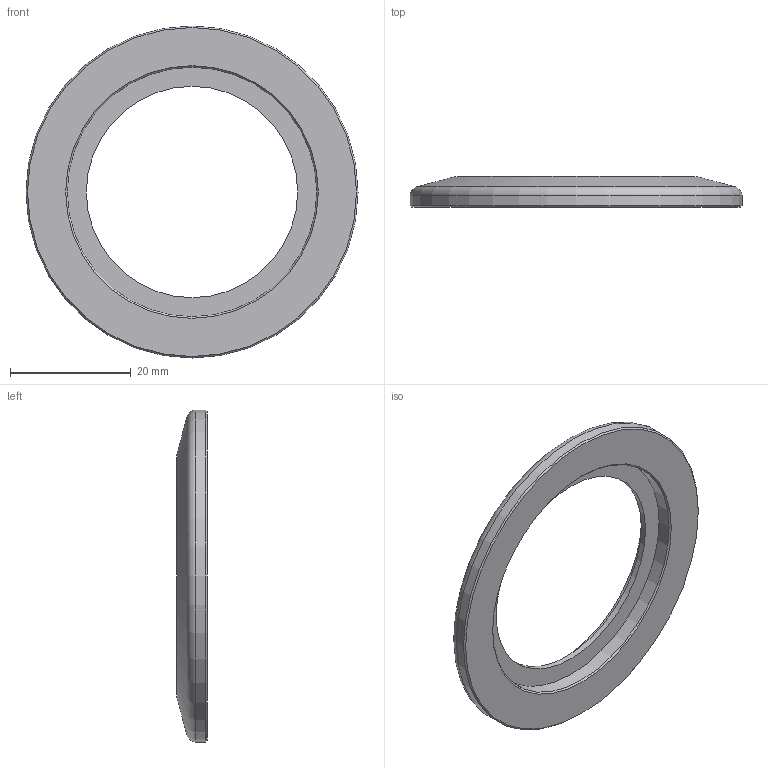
import cadquery as cq
import math

outer_radius = 55.0 / 2
bore_radius = 35.0 / 2
thickness = 5.08

taper_angle = math.radians(15)
back_face_radius = 20.0
rim_fillet = 1.5

recess_radius = 41.35 / 2
recess_depth = 2.6

socket_radius = 38.1 / 2
lip_thickness = 1.0

edge_chamfer = 0.25

taper_drop = (outer_radius - back_face_radius) * math.tan(taper_angle)
rim_height = thickness - taper_drop


def ring_blank():
    """Full ring section, with the rounded corner between taper and rim."""
    mid_angle = (math.pi / 2 - taper_angle) / 2
    tangent_length = rim_fillet * math.tan(mid_angle)
    fillet_start_y = rim_height - tangent_length
    fillet_center_radius = outer_radius - rim_fillet
    fillet_mid = (
        fillet_center_radius + rim_fillet * math.cos(mid_angle),
        fillet_start_y + rim_fillet * math.sin(mid_angle),
    )
    fillet_end = (
        outer_radius - tangent_length * math.cos(taper_angle),
        rim_height + tangent_length * math.sin(taper_angle),
    )
    profile = (
        cq.Workplane("XY")
        .moveTo(bore_radius, 0)
        .lineTo(outer_radius - edge_chamfer, 0)
        .lineTo(outer_radius, edge_chamfer)
        .lineTo(outer_radius, fillet_start_y)
        .threePointArc(fillet_mid, fillet_end)
        .lineTo(back_face_radius, thickness)
        .lineTo(bore_radius, thickness)
        .close()
    )
    return profile.revolve(360, (0, 0), (0, 1))


def front_recess():
    """Cutter for the round recess with a chamfered mouth."""
    profile = (
        cq.Workplane("XY")
        .lineTo(recess_radius + edge_chamfer, 0)
        .lineTo(recess_radius, edge_chamfer)
        .lineTo(recess_radius, recess_depth)
        .lineTo(0, recess_depth)
        .close()
    )
    return profile.revolve(360, (0, 0), (0, 1))


def tube_socket():
    """Cutter for the round tube socket, open at the back face."""
    socket_floor_y = recess_depth + lip_thickness
    profile = (
        cq.Workplane("XY")
        .moveTo(0, socket_floor_y)
        .lineTo(socket_radius, socket_floor_y)
        .lineTo(socket_radius, thickness)
        .lineTo(0, thickness)
        .close()
    )
    return profile.revolve(360, (0, 0), (0, 1))


result = ring_blank().cut(front_recess()).cut(tube_socket())